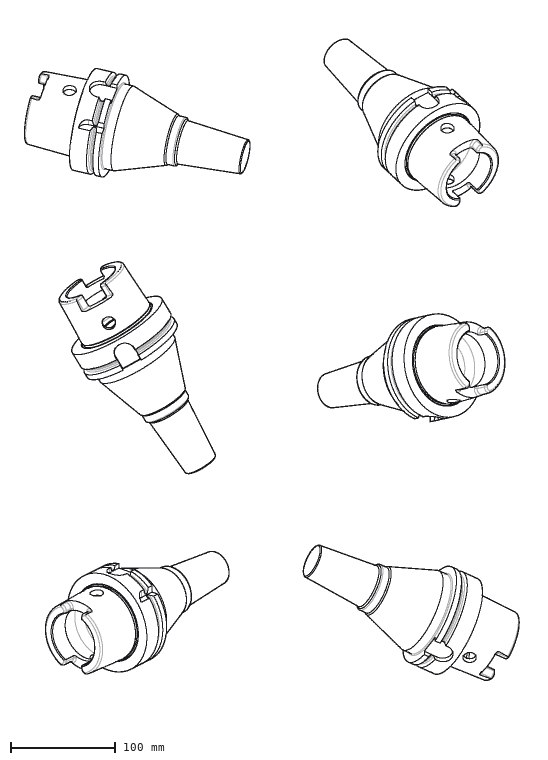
import cadquery as cq
import math


LENGTH = 210.0

SHANK_LENGTH = 50.0
SHANK_NOSE_RADIUS = 35.7
SHANK_ROOT_RADIUS = 37.8
NOSE_ROUND = 1.9

RELIEF_START = 47.7
RELIEF_DEPTH = 0.8
RELIEF_OUTER_RADIUS = 39.3

FLANGE_RADIUS = 50.0
FLANGE_END = 79.0
GROOVE_LEFT = 67.0
GROOVE_RIGHT = 73.3
GROOVE_DEPTH = 4.2
GROOVE_WALL_ANGLE = 20.0
GROOVE_ROUND = 1.5

BOSS_RADIUS = 41.5
BOSS_END = 88.8
BOSS_ROOT_ROUND = 1.0
BODY_CONE_END = 136.7
BODY_CONE_END_RADIUS = 25.2
COLLAR_START = 138.2
COLLAR_RADIUS = 24.0
COLLAR_END = 146.4
COLLAR_ROUND = 1.3
TIP_START = 148.0
TIP_START_RADIUS = 21.5
TIP_END_RADIUS = 16.8
TIP_CHAMFER = 1.0

BORE_RADIUS = 26.5
BORE_CHAMFER = 1.0
UNDERCUT_START = 19.3
UNDERCUT_RADIUS = 31.5
BORE_DEPTH = 46.0
BORE_FLOOR_ROUND = 6.7
CENTRE_HOLE_RADIUS = 11.3
CENTRE_HOLE_CHAMFER = 0.8
CENTRE_HOLE_DEPTH = 21.0

ACCESS_HOLE_RADIUS = 6.3
ACCESS_HOLE_X = 34.6

DRIVE_SLOT_WIDTH = 20.0
DRIVE_SLOT_FLARE = 5.0
DRIVE_SLOT_SHOULDER = 32.0
DRIVE_SLOT_ROUND = 1.9
DRIVE_SLOT_DEPTH_TOP = 9.9
DRIVE_SLOT_DEPTH_BOTTOM = 14.3

KEYWAY_WIDTH = 20.0
KEYWAY_START = 54.8
KEYWAY_FLOOR = 44.0
NOTCH_START = 55.2
NOTCH_OFFSET = 31.7
NOTCH_CORNER_RADIUS = 8.0


def revolve_about_x(profile):
    """Turn a closed (x, radius) profile about the X axis."""
    return profile.close().revolve(360, (0, 0, 0), (1, 0, 0))


def outer_body():
    step = BOSS_ROOT_ROUND
    profile = (
        cq.Workplane("XY")
        .lineTo(0, SHANK_NOSE_RADIUS)
        .lineTo(SHANK_LENGTH, SHANK_ROOT_RADIUS)
        .lineTo(SHANK_LENGTH, FLANGE_RADIUS)
        .lineTo(FLANGE_END, FLANGE_RADIUS)
        .lineTo(FLANGE_END, BOSS_RADIUS + step)
        .radiusArc((FLANGE_END + step, BOSS_RADIUS), -step)
        .lineTo(BOSS_END, BOSS_RADIUS)
        .lineTo(BODY_CONE_END, BODY_CONE_END_RADIUS)
        .lineTo(COLLAR_START, COLLAR_RADIUS)
        .lineTo(COLLAR_END - COLLAR_ROUND, COLLAR_RADIUS)
        .radiusArc((COLLAR_END, COLLAR_RADIUS - COLLAR_ROUND), COLLAR_ROUND)
        .lineTo(TIP_START, TIP_START_RADIUS)
        .lineTo(LENGTH - TIP_CHAMFER, TIP_END_RADIUS)
        .lineTo(LENGTH, TIP_END_RADIUS - TIP_CHAMFER)
        .lineTo(LENGTH, 0)
    )
    return revolve_about_x(profile)


def relief_groove():
    inner_radius = SHANK_ROOT_RADIUS - RELIEF_DEPTH
    floor_x = SHANK_LENGTH + RELIEF_DEPTH
    profile = (
        cq.Workplane("XY")
        .moveTo(RELIEF_START, SHANK_ROOT_RADIUS)
        .lineTo(RELIEF_START + RELIEF_DEPTH, inner_radius)
        .lineTo(floor_x, inner_radius)
        .lineTo(floor_x, RELIEF_OUTER_RADIUS - RELIEF_DEPTH)
        .lineTo(SHANK_LENGTH, RELIEF_OUTER_RADIUS)
        .lineTo(SHANK_LENGTH, SHANK_ROOT_RADIUS)
    )
    return revolve_about_x(profile)


def gripper_groove():
    floor_radius = FLANGE_RADIUS - GROOVE_DEPTH
    inset = GROOVE_DEPTH * math.tan(math.radians(GROOVE_WALL_ANGLE))
    profile = (
        cq.Workplane("XY")
        .moveTo(GROOVE_LEFT, FLANGE_RADIUS)
        .lineTo(GROOVE_LEFT + inset, floor_radius)
        .lineTo(GROOVE_RIGHT - inset, floor_radius)
        .lineTo(GROOVE_RIGHT, FLANGE_RADIUS)
    )
    floor_edges = cq.selectors.RadiusNthSelector(0)
    return revolve_about_x(profile).edges("%CIRCLE").edges(floor_edges).fillet(GROOVE_ROUND)


def clamping_bore():
    hole_end = BORE_DEPTH + CENTRE_HOLE_DEPTH
    profile = (
        cq.Workplane("XY")
        .lineTo(0, BORE_RADIUS + BORE_CHAMFER)
        .lineTo(BORE_CHAMFER, BORE_RADIUS)
        .lineTo(UNDERCUT_START, BORE_RADIUS)
        .lineTo(UNDERCUT_START, UNDERCUT_RADIUS)
        .lineTo(BORE_DEPTH - BORE_FLOOR_ROUND, UNDERCUT_RADIUS)
        .radiusArc((BORE_DEPTH, UNDERCUT_RADIUS - BORE_FLOOR_ROUND), BORE_FLOOR_ROUND)
        .lineTo(BORE_DEPTH, CENTRE_HOLE_RADIUS + CENTRE_HOLE_CHAMFER)
        .lineTo(BORE_DEPTH + CENTRE_HOLE_CHAMFER, CENTRE_HOLE_RADIUS)
        .lineTo(hole_end, CENTRE_HOLE_RADIUS)
        .lineTo(hole_end, 0)
    )
    return revolve_about_x(profile)


def access_hole():
    return (
        cq.Workplane("XY")
        .center(ACCESS_HOLE_X, 0)
        .circle(ACCESS_HOLE_RADIUS)
        .extrude(FLANGE_RADIUS, both=True)
    )


def drive_slot(depth):
    """Slot on the +Z side whose walls flare outwards in quarter rounds up to a flat shoulder."""
    half = DRIVE_SLOT_WIDTH / 2
    flare_start = DRIVE_SLOT_SHOULDER - DRIVE_SLOT_FLARE
    flare_end = half + DRIVE_SLOT_FLARE
    reach = FLANGE_RADIUS
    return (
        cq.Workplane("YZ")
        .moveTo(-half, 0)
        .lineTo(-half, flare_start)
        .radiusArc((-flare_end, DRIVE_SLOT_SHOULDER), -DRIVE_SLOT_FLARE)
        .lineTo(-reach, DRIVE_SLOT_SHOULDER)
        .lineTo(-reach, reach)
        .lineTo(reach, reach)
        .lineTo(reach, DRIVE_SLOT_SHOULDER)
        .lineTo(flare_end, DRIVE_SLOT_SHOULDER)
        .radiusArc((half, flare_start), -DRIVE_SLOT_FLARE)
        .lineTo(half, 0)
        .close()
        .extrude(depth)
        .faces(">X")
        .edges()
        .fillet(DRIVE_SLOT_ROUND)
    )


def keyway():
    """Flat-bottomed keyway on the +Z side, round at its left end and open at the flange end."""
    radius = KEYWAY_WIDTH / 2
    arc_centre = KEYWAY_START + radius
    return (
        cq.Workplane("XY", origin=(0, 0, KEYWAY_FLOOR))
        .moveTo(FLANGE_END, radius)
        .lineTo(arc_centre, radius)
        .threePointArc((KEYWAY_START, 0), (arc_centre, -radius))
        .lineTo(FLANGE_END, -radius)
        .close()
        .extrude(FLANGE_RADIUS - KEYWAY_FLOOR)
    )


def orientation_notch():
    """Square corner cut from the flange at -Y +Z, with a rounded upright inner edge."""
    size = FLANGE_RADIUS - NOTCH_OFFSET
    return (
        cq.Workplane("XY")
        .box(FLANGE_END - NOTCH_START, size, size, centered=False)
        .edges("|Z and <X and >Y")
        .fillet(NOTCH_CORNER_RADIUS)
        .translate((NOTCH_START, -FLANGE_RADIUS, NOTCH_OFFSET))
    )


def on_bottom(tool):
    return tool.rotate((0, 0, 0), (1, 0, 0), 180)


holder = outer_body().cut(drive_slot(DRIVE_SLOT_DEPTH_TOP)).cut(on_bottom(drive_slot(DRIVE_SLOT_DEPTH_BOTTOM)))

holder = holder.faces("<X").edges().fillet(NOSE_ROUND)

holder = holder.cut(relief_groove()).cut(gripper_groove()).cut(clamping_bore())
for tool in (access_hole(), keyway(), on_bottom(keyway()), orientation_notch()):
    holder = holder.cut(tool)

result = holder